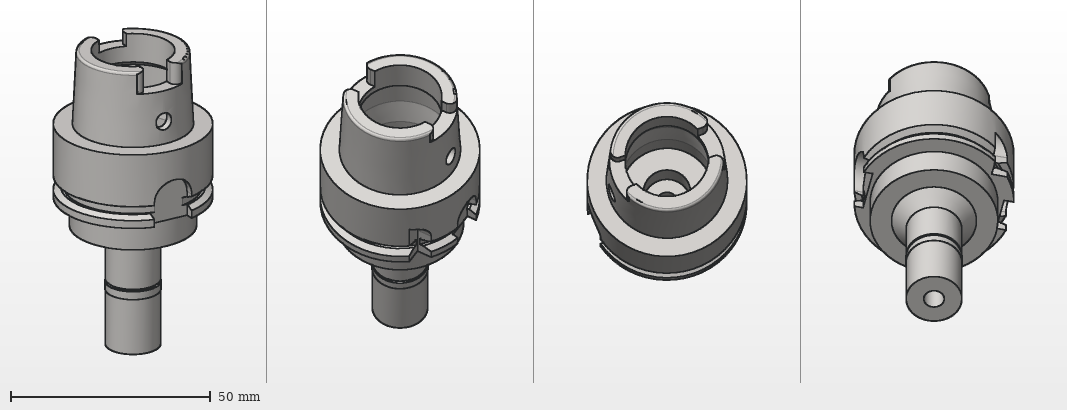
import cadquery as cq
import math

TOTAL_HEIGHT = 80.0
SLEEVE_TOP = 15.0
RING_TOP = 17.1
NECK_TOP = 17.8
CONE_BOTTOM = 28.8
COLLAR_BOTTOM = 32.4
FLANGE_BOTTOM = 40.0
FLANGE_TOP = 60.0

SHANK_DIAMETER = 14.0
SHANK_RADIUS = SHANK_DIAMETER / 2
RING_RADIUS = 7.0
NECK_RADIUS = 6.2
CONE_TOP_RADIUS = 10.6
COLLAR_RADIUS = 16.0
FLANGE_RADIUS = 20.0
TAPER_BASE_RADIUS = 15.2
TAPER_TIP_RADIUS = 14.2
RIM_FILLET = 0.7

GROOVE_HEIGHT = 44.0
GROOVE_ROOT_RADIUS = 17.4
GROOVE_ROOT_HALF_WIDTH = 1.0
GROOVE_SHOULDER_RADIUS = 18.2
GROOVE_MOUTH_HALF_WIDTH = 1.9

COOLANT_RADIUS = 2.6
COUNTERBORE_RADIUS = 5.9
COUNTERBORE_DEPTH = 8.0
CHAMBER_FLOOR = 49.6
CHAMBER_RADIUS = 11.6
CLAMP_RADIUS = 12.8
CLAMP_BOTTOM = 63.8
CLAMP_TOP = 70.6
CLAMP_SEAT_HEIGHT = 6.4
MOUTH_BOTTOM = 72.2
MOUTH_RADIUS = 10.5

CROSS_HOLE_RADIUS = 2.2
CROSS_HOLE_HEIGHT = 66.0

DRIVE_SLOT_WIDTH = 8.0
DRIVE_SLOT_EDGE_FILLET = 1.8
LEFT_SLOT_FLOOR = 76.6
RIGHT_SLOT_FLOOR = 74.2

KEYWAY_TOP = 52.0
KEYWAY_FLOOR = 17.0
LEFT_KEYWAY_WIDTH = 9.0
RIGHT_KEYWAY_WIDTH = 11.0
INDEX_NOTCH_WIDTH = 8.0
INDEX_NOTCH_FLOOR = 12.2
INDEX_NOTCH_CENTER = 15.8


def revolve_profile(points):
    """Turn a closed (radius, height) outline about the Z axis."""
    return cq.Workplane("XZ").polyline(points).close().revolve(360, (0, 0), (0, 1))


def tube(radius, bottom, top):
    """Make a cylinder with the coolant hole through it."""
    return (
        cq.Workplane("XY")
        .workplane(offset=bottom)
        .circle(radius)
        .circle(COOLANT_RADIUS)
        .extrude(top - bottom)
    )


def holder_outside():
    return revolve_profile([
        (0, RING_TOP),
        (NECK_RADIUS, RING_TOP),
        (NECK_RADIUS, NECK_TOP),
        (SHANK_RADIUS, NECK_TOP),
        (SHANK_RADIUS, CONE_BOTTOM),
        (CONE_TOP_RADIUS, COLLAR_BOTTOM),
        (COLLAR_RADIUS, COLLAR_BOTTOM),
        (COLLAR_RADIUS, FLANGE_BOTTOM),
        (FLANGE_RADIUS, FLANGE_BOTTOM),
        (FLANGE_RADIUS, GROOVE_HEIGHT - GROOVE_MOUTH_HALF_WIDTH),
        (GROOVE_SHOULDER_RADIUS, GROOVE_HEIGHT - GROOVE_ROOT_HALF_WIDTH),
        (GROOVE_ROOT_RADIUS, GROOVE_HEIGHT - GROOVE_ROOT_HALF_WIDTH),
        (GROOVE_ROOT_RADIUS, GROOVE_HEIGHT + GROOVE_ROOT_HALF_WIDTH),
        (GROOVE_SHOULDER_RADIUS, GROOVE_HEIGHT + GROOVE_ROOT_HALF_WIDTH),
        (FLANGE_RADIUS, GROOVE_HEIGHT + GROOVE_MOUTH_HALF_WIDTH),
        (FLANGE_RADIUS, FLANGE_TOP),
        (TAPER_BASE_RADIUS, FLANGE_TOP),
        (TAPER_TIP_RADIUS, TOTAL_HEIGHT),
        (0, TOTAL_HEIGHT),
    ])


def holder_bore():
    counterbore_floor = CHAMBER_FLOOR - COUNTERBORE_DEPTH
    return revolve_profile([
        (0, RING_TOP),
        (COOLANT_RADIUS, RING_TOP),
        (COOLANT_RADIUS, counterbore_floor),
        (COUNTERBORE_RADIUS, counterbore_floor),
        (COUNTERBORE_RADIUS, CHAMBER_FLOOR),
        (CHAMBER_RADIUS, CHAMBER_FLOOR),
        (CHAMBER_RADIUS, CLAMP_BOTTOM - CLAMP_SEAT_HEIGHT),
        (CLAMP_RADIUS, CLAMP_BOTTOM),
        (CLAMP_RADIUS, CLAMP_TOP),
        (MOUTH_RADIUS, MOUTH_BOTTOM),
        (MOUTH_RADIUS, TOTAL_HEIGHT),
        (0, TOTAL_HEIGHT),
    ])


def drive_slot(side, floor):
    """Slot from the axis out through the rim, its mouth rounded into the taper; side is -1 or +1."""
    half = DRIVE_SLOT_WIDTH / 2
    edge = DRIVE_SLOT_EDGE_FILLET
    center_y = half + edge
    center_x = math.sqrt((TAPER_TIP_RADIUS - edge) ** 2 - center_y**2)
    reach = TAPER_TIP_RADIUS / (TAPER_TIP_RADIUS - edge)
    touch = (center_x * reach, center_y * reach)
    direction = math.atan2(center_y, center_x)
    bisector = (direction - math.pi / 2) / 2
    middle = (center_x + edge * math.cos(bisector), center_y + edge * math.sin(bisector))
    return (
        cq.Workplane("XY")
        .workplane(offset=floor)
        .moveTo(0, -half)
        .lineTo(side * center_x, -half)
        .threePointArc((side * middle[0], -middle[1]), (side * touch[0], -touch[1]))
        .lineTo(side * FLANGE_RADIUS, -touch[1])
        .lineTo(side * FLANGE_RADIUS, touch[1])
        .lineTo(side * touch[0], touch[1])
        .threePointArc((side * middle[0], middle[1]), (side * center_x, half))
        .lineTo(0, half)
        .close()
        .extrude(TOTAL_HEIGHT - floor)
    )


def keyway(side, width, floor, center_y=0.0):
    """Round-topped slot open at the flange bottom and outwards; side is -1 or +1 along X."""
    half = width / 2
    arc_height = KEYWAY_TOP - half
    return (
        cq.Workplane("YZ")
        .workplane(offset=side * floor)
        .moveTo(center_y - half, FLANGE_BOTTOM)
        .lineTo(center_y - half, arc_height)
        .threePointArc((center_y, KEYWAY_TOP), (center_y + half, arc_height))
        .lineTo(center_y + half, FLANGE_BOTTOM)
        .close()
        .extrude(side * (FLANGE_RADIUS - floor))
    )


def cross_hole():
    return (
        cq.Workplane("YZ")
        .center(0, CROSS_HOLE_HEIGHT)
        .circle(CROSS_HOLE_RADIUS)
        .extrude(FLANGE_RADIUS, both=True)
    )


def make_holder():
    outside = holder_outside().faces(">Z").edges().fillet(RIM_FILLET)
    return (
        outside.cut(holder_bore())
        .cut(drive_slot(-1, LEFT_SLOT_FLOOR))
        .cut(drive_slot(1, RIGHT_SLOT_FLOOR))
        .cut(cross_hole())
        .cut(keyway(-1, LEFT_KEYWAY_WIDTH, KEYWAY_FLOOR))
        .cut(keyway(1, RIGHT_KEYWAY_WIDTH, KEYWAY_FLOOR))
        .cut(keyway(-1, INDEX_NOTCH_WIDTH, INDEX_NOTCH_FLOOR, INDEX_NOTCH_CENTER))
    )


def make_ring():
    return tube(RING_RADIUS, SLEEVE_TOP, RING_TOP)


def make_sleeve():
    return tube(SHANK_RADIUS, 0, SLEEVE_TOP)


holder = make_holder()
ring = make_ring()
sleeve = make_sleeve()

result = cq.Compound.makeCompound([holder.val(), ring.val(), sleeve.val()])